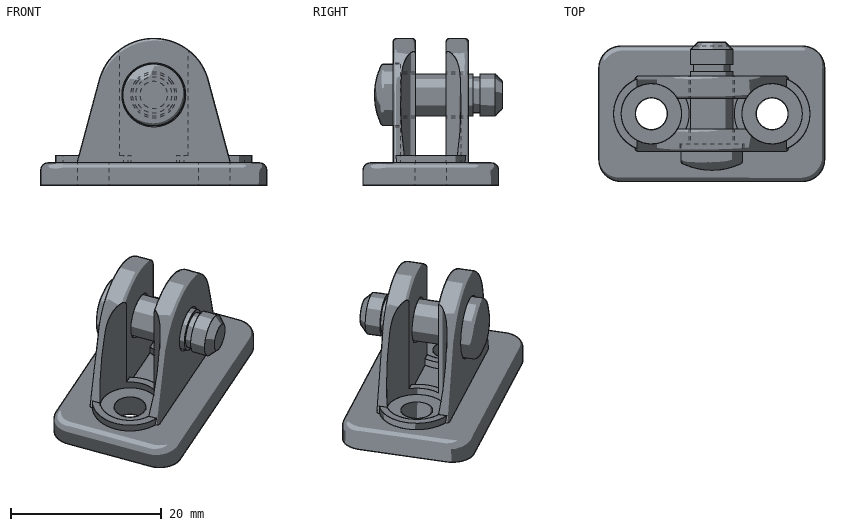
import cadquery as cq
import math

base_length = 30.0
base_width = 18.0
base_height = 3.0
corner_radius = 3.0
base_edge_radius = 1.0

pin_height = 12.0
lug_radius = 7.5
lug_flank_angle = math.radians(15.0)
lug_outer_y = 5.0
lug_inner_y = 2.0
lug_edge_radius = 0.5

pin_hole_diameter = 6.1
head_recess_diameter = 8.5
head_recess_depth = 1.0

mount_offset = 8.0
rim_radius = lug_outer_y
rim_height = 1.0
recess_diameter = 8.0
mount_hole_diameter = 4.2
mount_points = [(-mount_offset, 0), (mount_offset, 0)]

shank_radius = 5.6 / 2
head_radius = 8.2 / 2
head_rim_projection = 1.5
dome_height = 1.0
head_edge_radius = 0.5
groove_radius = 4.8 / 2
groove_start_y = 5.6
groove_width = 0.9
tip_y = 9.5
tip_chamfer = 1.0

lug_top = pin_height + lug_radius
head_seat_y = -lug_outer_y + head_recess_depth
rim_top = base_height + rim_height


def make_base():
    return (
        cq.Workplane("XY")
        .box(base_length, base_width, base_height, centered=(True, True, False))
        .edges("|Z").fillet(corner_radius)
        .faces(">Z").edges().fillet(base_edge_radius)
    )


def make_lug(outer_y):
    """Tapered lug with a round top; it extends from outer_y toward -Y."""
    tangent_x = lug_radius * math.cos(lug_flank_angle)
    tangent_z = pin_height + lug_radius * math.sin(lug_flank_angle)
    foot_x = tangent_x + (tangent_z - base_height) * math.tan(lug_flank_angle)
    return (
        cq.Workplane("XZ", origin=(0, outer_y, 0))
        .moveTo(-foot_x, base_height)
        .lineTo(-tangent_x, tangent_z)
        .threePointArc((0, lug_top), (tangent_x, tangent_z))
        .lineTo(foot_x, base_height)
        .close()
        .extrude(lug_outer_y - lug_inner_y)
        .faces("|Y").edges("not(<Z)").fillet(lug_edge_radius)
    )


def make_bracket():
    bracket = make_base()
    for outer_y in (lug_outer_y, -lug_inner_y):
        bracket = bracket.union(make_lug(outer_y))

    rims = (
        cq.Workplane("XY", origin=(0, 0, base_height))
        .pushPoints(mount_points).circle(rim_radius).extrude(rim_height)
    )
    recesses = (
        cq.Workplane("XY", origin=(0, 0, base_height))
        .pushPoints(mount_points).circle(recess_diameter / 2).extrude(lug_top - base_height)
    )
    mount_holes = (
        cq.Workplane("XY")
        .pushPoints(mount_points).circle(mount_hole_diameter / 2).extrude(rim_top)
    )
    pin_hole = (
        cq.Workplane("XZ", origin=(0, 0, pin_height))
        .circle(pin_hole_diameter / 2).extrude(lug_outer_y, both=True)
    )
    head_recess = (
        cq.Workplane("XZ", origin=(0, head_seat_y, pin_height))
        .circle(head_recess_diameter / 2).extrude(head_recess_depth)
    )
    bracket = bracket.union(rims)
    for cutter in (recesses, mount_holes, pin_hole, head_recess):
        bracket = bracket.cut(cutter)
    return bracket


def make_pin():
    """Domed pin along Y, its head seated in the recess of the -Y lug."""
    rim_y = -lug_outer_y - head_rim_projection
    dome_y = rim_y - dome_height
    dome_radius = (head_radius**2 + dome_height**2) / (2 * dome_height)
    mid_radius = head_radius / 2
    mid_y = dome_y + dome_radius - math.sqrt(dome_radius**2 - mid_radius**2)
    groove_end_y = groove_start_y + groove_width

    head = (
        cq.Workplane("XY")
        .moveTo(0, dome_y)
        .threePointArc((mid_radius, mid_y), (head_radius, rim_y))
        .lineTo(head_radius, head_seat_y)
        .lineTo(0, head_seat_y)
        .close()
        .revolve(360, (0, 0), (0, 1))
        .faces("<Y").edges()
        .fillet(head_edge_radius)
    )
    shank = (
        cq.Workplane("XY")
        .moveTo(0, head_seat_y)
        .lineTo(shank_radius, head_seat_y)
        .lineTo(shank_radius, groove_start_y)
        .lineTo(groove_radius, groove_start_y)
        .lineTo(groove_radius, groove_end_y)
        .lineTo(shank_radius, groove_end_y)
        .lineTo(shank_radius, tip_y - tip_chamfer)
        .lineTo(shank_radius - tip_chamfer, tip_y)
        .lineTo(0, tip_y)
        .close()
        .revolve(360, (0, 0), (0, 1))
    )
    return head.union(shank).translate((0, 0, pin_height))


bracket = make_bracket()
pin = make_pin()
result = cq.Compound.makeCompound([bracket.val(), pin.val()])